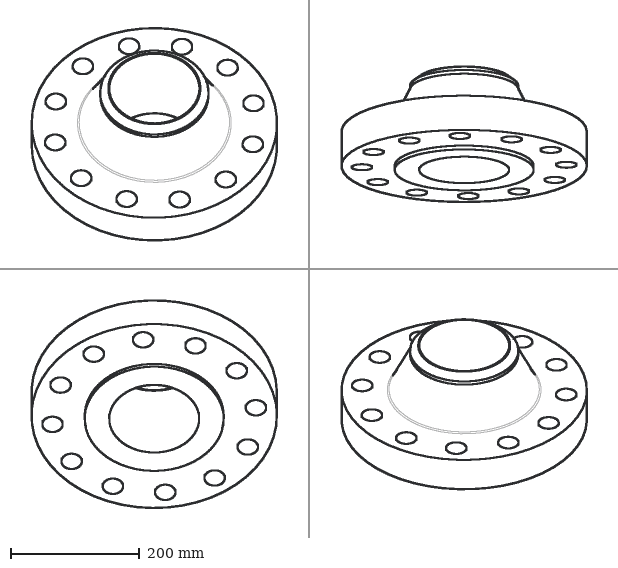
import cadquery as cq
import math

overall_height = 146.05

flange_diameter = 381.0
flange_thickness = 55.6
raised_face_diameter = 215.9
raised_face_height = 6.35

hub_base_diameter = 235.0
weld_end_diameter = 168.3
weld_end_straight_length = 6.0
hub_fillet_radius = 3.0
bore_diameter = 139.7
weld_land_width = 1.6
weld_bevel_angle = 37.5

bolt_count = 12
bolt_circle_diameter = 317.5
bolt_hole_diameter = 31.75

flange_top = raised_face_height + flange_thickness
bore_radius = bore_diameter / 2
weld_end_radius = weld_end_diameter / 2
land_radius = bore_radius + weld_land_width
bevel_height = (weld_end_radius - land_radius) * math.tan(math.radians(weld_bevel_angle))
bevel_bottom = overall_height - bevel_height
taper_top = bevel_bottom - weld_end_straight_length


def make_flange_plate():
    """Round plate with the raised sealing face below it."""
    raised_face = cq.Workplane("XY").circle(raised_face_diameter / 2).extrude(raised_face_height)
    plate = (
        cq.Workplane("XY", origin=(0, 0, raised_face_height))
        .circle(flange_diameter / 2)
        .extrude(flange_thickness)
    )
    return plate.union(raised_face)


def make_hub():
    """Solid of revolution: taper, short straight length, weld bevel and end land."""
    return (
        cq.Workplane("XZ")
        .moveTo(0, flange_top)
        .lineTo(hub_base_diameter / 2, flange_top)
        .lineTo(weld_end_radius, taper_top)
        .lineTo(weld_end_radius, bevel_bottom)
        .lineTo(land_radius, overall_height)
        .lineTo(0, overall_height)
        .close()
        .revolve(360, (0, 0, 0), (0, 1, 0))
    )


def fillet_hub_base(body):
    """Round the inside corner where the taper meets the plate."""
    hub_base_edge = cq.selectors.RadiusNthSelector(-2)
    return body.edges("%CIRCLE").edges(hub_base_edge).fillet(hub_fillet_radius)


def cut_bore(body):
    bore = cq.Workplane("XY").circle(bore_radius).extrude(overall_height)
    return body.cut(bore)


def cut_bolt_holes(body):
    """Through holes evenly spaced on the bolt circle, the first one on +X."""
    holes = (
        cq.Workplane("XY")
        .polarArray(bolt_circle_diameter / 2, 0, 360, bolt_count)
        .circle(bolt_hole_diameter / 2)
        .extrude(flange_top)
    )
    return body.cut(holes)


result = make_flange_plate().union(make_hub())
result = fillet_hub_base(result)
result = cut_bore(result)
result = cut_bolt_holes(result)